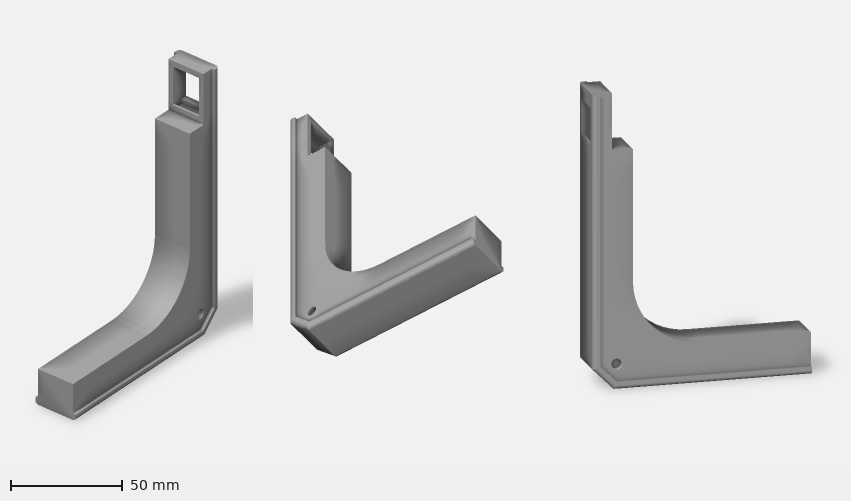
import cadquery as cq

HEIGHT = 137.6
LENGTH = 101.6
FLANGE_WIDTH = 23.3
BODY_WIDTH = 20.1
LEG_DEPTH = 19.0
INNER_RADIUS = 30.3
CORNER_CHAMFER = 9.9

FLANGE_DEPTH = 3.5
FLANGE_FILLET = 1.9

TAB_DEPTH = 9.4
TAB_BOTTOM = 110.8
WINDOW_WIDTH = 15.1
WINDOW_BOTTOM = 114.2
WINDOW_TOP = 134.6

GROOVE_START = 1.1
GROOVE_DROP = 2.5
LATCH_DEPTH = 3.3
SILL_RISE = 0.3
LIP_DROP = 3.7
EDGE_RADIUS = 1.7

HOLE_DIAMETER = 4.5
HOLE_OFFSET = 11.4
HOLE_DEPTH = 2.8
HOLE_CHAMFER = 0.3


def centered_extrusion(outline, width):
    """Extrude a YZ outline symmetrically about X = 0."""
    return outline.extrude(width / 2, both=True)


def centered_box(width, y_min, y_max, z_min, z_max):
    """Box centred on X = 0 with the given Y and Z limits."""
    outline = cq.Workplane("YZ").moveTo(y_min, z_min).lineTo(y_max, z_min)
    outline = outline.lineTo(y_max, z_max).lineTo(y_min, z_max).close()
    return centered_extrusion(outline, width)


def corner_outline(inset):
    """L-shaped region left after moving the chamfered outer edges inward."""
    chamfer = CORNER_CHAMFER - inset * (2 - 2**0.5)
    outline = cq.Workplane("YZ").moveTo(-LENGTH, inset)
    outline = outline.lineTo(-inset - chamfer, inset).lineTo(-inset, inset + chamfer)
    return outline.lineTo(-inset, HEIGHT)


def make_body():
    outline = (
        corner_outline(0)
        .lineTo(-TAB_DEPTH, HEIGHT)
        .lineTo(-TAB_DEPTH, TAB_BOTTOM)
        .lineTo(-LEG_DEPTH, TAB_BOTTOM)
        .lineTo(-LEG_DEPTH, LEG_DEPTH + INNER_RADIUS)
        .radiusArc((-LEG_DEPTH - INNER_RADIUS, LEG_DEPTH), INNER_RADIUS)
        .lineTo(-LENGTH, LEG_DEPTH)
        .close()
    )
    return centered_extrusion(outline, BODY_WIDTH)


def make_flange():
    """Wider strip that follows the outer side, with rounded outer edges."""
    outer = corner_outline(0).lineTo(-LENGTH, HEIGHT).close()
    inner = corner_outline(FLANGE_DEPTH).lineTo(-LENGTH, HEIGHT).close()
    plate = centered_extrusion(outer, FLANGE_WIDTH)
    half_width = FLANGE_WIDTH / 2
    margin = 0.1
    for side in (-half_width, half_width):
        edge_selector = cq.selectors.BoxSelector(
            (side - margin, -LENGTH + margin, -margin),
            (side + margin, margin, HEIGHT - margin),
        )
        plate = plate.edges(edge_selector).fillet(FLANGE_FILLET)
    return plate.cut(centered_extrusion(inner, FLANGE_WIDTH))


def cut_window(part):
    window = centered_box(WINDOW_WIDTH, -TAB_DEPTH, 0, WINDOW_BOTTOM, WINDOW_TOP)
    groove = centered_box(
        WINDOW_WIDTH, -TAB_DEPTH + GROOVE_START, -LATCH_DEPTH, WINDOW_BOTTOM - GROOVE_DROP, WINDOW_BOTTOM
    )
    return part.cut(window).cut(groove)


def make_latch_edges():
    """Rounded sill and rounded upper lip at the outer side of the window."""
    sill = centered_box(WINDOW_WIDTH, -LATCH_DEPTH, 0, WINDOW_BOTTOM - GROOVE_DROP, WINDOW_BOTTOM + SILL_RISE)
    sill = sill.edges("|X and <Y and >Z").fillet(EDGE_RADIUS)
    lip = centered_box(WINDOW_WIDTH, -LATCH_DEPTH, 0, WINDOW_TOP - LIP_DROP, WINDOW_TOP)
    lip = lip.edges("|X and <Y and <Z").fillet(EDGE_RADIUS)
    return sill.union(lip)


def make_side_holes():
    """Matching countersunk holes in the two side faces."""
    hole_floor = BODY_WIDTH / 2 - HOLE_DEPTH
    hole = cq.Workplane("YZ").workplane(offset=hole_floor).center(-HOLE_OFFSET, HOLE_OFFSET)
    hole = hole.circle(HOLE_DIAMETER / 2).extrude(HOLE_DEPTH)
    mouth = cq.Workplane("YZ").workplane(offset=BODY_WIDTH / 2).center(-HOLE_OFFSET, HOLE_OFFSET)
    mouth = mouth.circle(HOLE_DIAMETER / 2 + HOLE_CHAMFER)
    mouth = mouth.workplane(offset=-HOLE_CHAMFER).circle(HOLE_DIAMETER / 2).loft()
    hole = hole.union(mouth)
    return hole.union(hole.mirror("YZ"))


result = make_body().union(make_flange())
result = cut_window(result).union(make_latch_edges())
result = result.cut(make_side_holes())